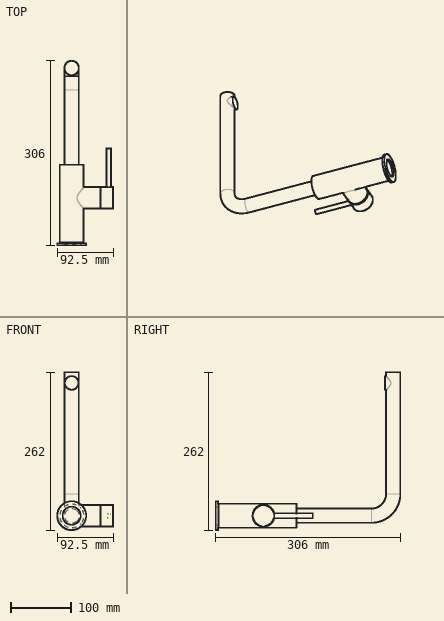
import cadquery as cq
flange_diameter = 48.0
flange_thickness = 4.0
recess_diameter = 30.0
recess_depth = 3.0
body_diameter = 40.0
body_end = 134.0
body_edge_chamfer = 0.5
base_gap_diameter = 39.0
base_gap_width = 1.0

overall_length = 306.0
overall_height = 262.0
spout_diameter = 24.0
bend_radius = 36.0
spout_axis_y = overall_length - spout_diameter / 2
spout_top = overall_height - flange_diameter / 2

outlet_diameter = 22.5
outlet_projection = 2.0
outlet_below_top = 18.0

overall_width = 92.51
valve_diameter = 36.2
valve_axis_y = 79.0
valve_end = overall_width - flange_diameter / 2
cap_length = 20.0
valve_gap_width = 1.5
valve_gap_diameter = 34.0

lever_diameter = 8.0
lever_tip_y = 161.0
lever_from_cap_end = 7.0

outlet_blend = 1.0
valve_blend = 1.0


def rod_along_y(diameter, start, end, x=0.0, z=0.0):
    """Round rod parallel to Y between two Y positions."""
    plane = cq.Plane(origin=(x, start, z), xDir=(1, 0, 0), normal=(0, 1, 0))
    return cq.Workplane(plane).circle(diameter / 2).extrude(end - start)


def rod_along_x(diameter, start, end):
    """Round rod on the valve axis between two X positions."""
    plane = cq.Plane(origin=(start, valve_axis_y, 0), xDir=(0, 1, 0), normal=(1, 0, 0))
    return cq.Workplane(plane).circle(diameter / 2).extrude(end - start)


def make_base():
    """Flange, narrow shadow gap and cylindrical body."""
    gap_end = flange_thickness + base_gap_width
    flange = rod_along_y(flange_diameter, 0, flange_thickness)
    gap = rod_along_y(base_gap_diameter, 0, gap_end)
    body = rod_along_y(body_diameter, gap_end, body_end)
    body = body.faces(">Y").chamfer(body_edge_chamfer)
    return flange.union(gap).union(body)


def make_spout():
    """Tube with a quarter bend, started inside the body."""
    path = (
        cq.Workplane("YZ")
        .moveTo(body_end / 2, 0)
        .lineTo(spout_axis_y - bend_radius, 0)
        .radiusArc((spout_axis_y, bend_radius), -bend_radius)
        .lineTo(spout_axis_y, spout_top)
    )
    start = cq.Plane(origin=(0, body_end / 2, 0), xDir=(1, 0, 0), normal=(0, 1, 0))
    return cq.Workplane(start).circle(spout_diameter / 2).sweep(path)


def make_outlet():
    """Short round outlet on the -Y side of the upright tube."""
    outlet_face_y = spout_axis_y - spout_diameter / 2 - outlet_projection
    return rod_along_y(outlet_diameter, outlet_face_y, spout_axis_y, z=spout_top - outlet_below_top)


def make_valve_housing():
    """Housing up to the shadow gap."""
    housing_end = valve_end - cap_length - valve_gap_width
    return rod_along_x(valve_diameter, 0, housing_end)


def make_handle_cap():
    """Cap and the neck that carries it across the shadow gap."""
    cap_start = valve_end - cap_length
    neck = rod_along_x(valve_gap_diameter, 0, valve_end)
    cap = rod_along_x(valve_diameter, cap_start, valve_end)
    return neck.union(cap)


def make_lever():
    """Lever rod rooted on the valve axis."""
    return rod_along_y(lever_diameter, valve_axis_y, lever_tip_y, x=valve_end - lever_from_cap_end)


def join_with_blend(main, branch, radius):
    """Join two round parts and fillet the saddle curve where they meet."""
    joined = main.union(branch)
    return joined.edges("%BSPLINE or %OTHER").fillet(radius)


mounting_recess = rod_along_y(recess_diameter, 0, recess_depth)
blended_body = join_with_blend(make_base(), make_valve_housing(), valve_blend)
blended_spout = join_with_blend(make_spout(), make_outlet(), outlet_blend)

result = (
    blended_body
    .union(blended_spout)
    .union(make_handle_cap())
    .union(make_lever())
    .cut(mounting_recess)
)